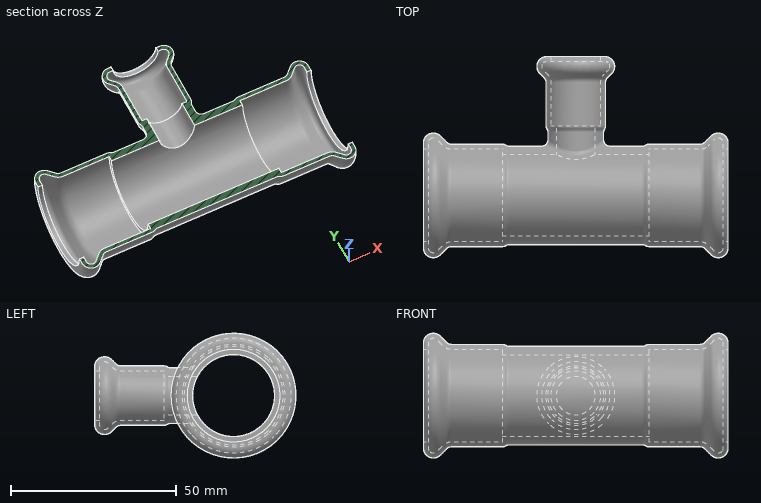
import cadquery as cq
import math

run_length = 92.0
run_bead_radius = 18.9
run_socket_radius = 31.0 / 2
run_neck_radius = 29.8 / 2
run_socket_depth = 23.9

branch_reach = 41.95
branch_bead_radius = 11.8
branch_socket_radius = 18.0 / 2
branch_neck_radius = 16.8 / 2
branch_socket_depth = 21.0

bead_tube_radius = 3.0
socket_wall = bead_tube_radius / 2
neck_wall = 2.6
flare_angle = math.radians(45)
flare_fillet = 1.9
shoulder_angle = math.radians(30)
shoulder_fillet = 1.75
saddle_fillet = 1.8


def arc_point(center, radius, angle):
    """Point on a circle, with the angle measured from the radial direction towards the neck."""
    return (center[0] + radius * math.sin(angle), center[1] + radius * math.cos(angle))


def draw_bead_and_flare(profile, bead_center, tube_radius, socket_radius, fillet):
    """Continue a (depth, radius) profile up the bead's flat face to the start of the socket."""
    bead_end = arc_point(bead_center, tube_radius, flare_angle)
    fillet_drop = fillet * (1 - math.cos(flare_angle))
    flare_end_radius = socket_radius + fillet_drop
    flare_end_depth = bead_end[0] + (bead_end[1] - flare_end_radius) / math.tan(flare_angle)
    fillet_center = (flare_end_depth + fillet * math.sin(flare_angle), socket_radius + fillet)
    return (
        profile.lineTo(*arc_point(bead_center, tube_radius, -math.pi / 2))
        .threePointArc(arc_point(bead_center, tube_radius, 0), bead_end)
        .lineTo(flare_end_depth, flare_end_radius)
        .threePointArc(
            arc_point(fillet_center, fillet, math.pi + flare_angle / 2),
            (fillet_center[0], socket_radius),
        )
    )


def draw_shoulder(profile, socket_radius, neck_radius, socket_depth):
    """Continue the profile down the S-shaped shoulder from the socket to the neck."""
    arc_length = shoulder_fillet * math.sin(shoulder_angle)
    arc_drop = shoulder_fillet * (1 - math.cos(shoulder_angle))
    slope_length = (socket_radius - neck_radius - 2 * arc_drop) / math.tan(shoulder_angle)
    upper_center = (socket_depth, socket_radius - shoulder_fillet)
    lower_center = (socket_depth + 2 * arc_length + slope_length, neck_radius + shoulder_fillet)
    half_angle = shoulder_angle / 2
    return (
        profile.lineTo(socket_depth, socket_radius)
        .threePointArc(
            arc_point(upper_center, shoulder_fillet, half_angle),
            arc_point(upper_center, shoulder_fillet, shoulder_angle),
        )
        .lineTo(*arc_point(lower_center, shoulder_fillet, math.pi + shoulder_angle))
        .threePointArc(
            arc_point(lower_center, shoulder_fillet, math.pi + half_angle),
            (lower_center[0], neck_radius),
        )
    )


def revolve_arm(profile, depth):
    """Close the profile on its axis and revolve it about X."""
    return profile.lineTo(depth, 0).close().revolve(360, (0, 0, 0), (1, 0, 0))


def make_arm_body(bead_radius, socket_radius, neck_radius, socket_depth, reach):
    """Solid outside of one arm, with its mouth at X = 0 and the tee centre at X = reach."""
    bead_center = (bead_tube_radius, bead_radius - bead_tube_radius)
    profile = cq.Workplane("XY")
    profile = draw_bead_and_flare(
        profile, bead_center, bead_tube_radius, socket_radius, flare_fillet
    )
    profile = draw_shoulder(profile, socket_radius, neck_radius, socket_depth)
    return revolve_arm(profile.lineTo(reach, neck_radius), reach)


def make_arm_cavity(bead_radius, socket_radius, neck_radius, socket_depth, reach):
    """Inside of one arm: lip, seal groove, socket, pipe stop and neck bore."""
    bead_center = (bead_tube_radius, bead_radius - bead_tube_radius)
    socket_bore = socket_radius - socket_wall
    neck_bore = neck_radius - neck_wall
    profile = cq.Workplane("XY").lineTo(0, socket_bore).lineTo(socket_wall, socket_bore)
    profile = draw_bead_and_flare(
        profile,
        bead_center,
        bead_tube_radius - socket_wall,
        socket_bore,
        flare_fillet + socket_wall,
    )
    profile = (
        profile.lineTo(socket_depth, socket_bore)
        .lineTo(socket_depth, neck_bore)
        .lineTo(reach, neck_bore)
    )
    return revolve_arm(profile, reach)


def place_run(arm):
    """Both halves of the run, mirrored about the tee centre."""
    half = arm.translate((-run_length / 2, 0, 0))
    return half.union(half.mirror("YZ"))


def place_branch(arm):
    """Turn an arm so that its mouth faces +Y."""
    return arm.translate((-branch_reach, 0, 0)).rotate((0, 0, 0), (0, 0, 1), -90)


run_sizes = (
    run_bead_radius, run_socket_radius, run_neck_radius, run_socket_depth, run_length / 2
)
branch_sizes = (
    branch_bead_radius, branch_socket_radius, branch_neck_radius, branch_socket_depth, branch_reach
)

body = place_run(make_arm_body(*run_sizes)).union(place_branch(make_arm_body(*branch_sizes)))
saddle_size = branch_neck_radius + saddle_fillet
saddle_zone = cq.selectors.BoxSelector(
    (-saddle_size, 0, -saddle_size), (saddle_size, run_socket_radius, saddle_size), boundingbox=True
)
body = body.edges(saddle_zone).fillet(saddle_fillet)

cavity = place_run(make_arm_cavity(*run_sizes)).union(place_branch(make_arm_cavity(*branch_sizes)))
result = body.cut(cavity)